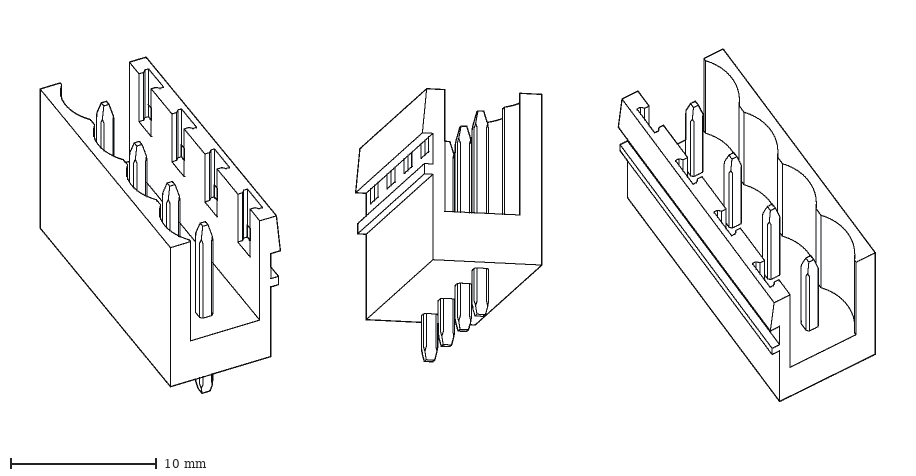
import cadquery as cq


LENGTH = 20.12
HEIGHT = 12.0
DEPTH = 7.69
FLOOR_Z = 3.45
FRONT_WALL = 1.55
REAR_WALL_INNER_Y = 6.85

POLE_COUNT = 4
END_MARGIN = 2.43
POLE_PITCH = (LENGTH - 2 * END_MARGIN) / (POLE_COUNT - 1)

HOOK_Y = 8.43
HOOK_TOP_Y = 8.13
HOOK_BOTTOM_Z = 8.87

RIB_Y = 8.29
RIB_BOTTOM_Z = 6.0
RIB_TOP_Z = 6.72

SCALLOP_RADIUS = 3.5
SCALLOP_FRONT_Y = 0.76

GROOVE_BOTTOM_Z = 7.87
GROOVE_MOUTH_WIDTH = 1.9
GROOVE_BACK_WIDTH = 2.33
GROOVE_MOUTH_END_Y = 7.2
GROOVE_FLARE_END_Y = 7.4
GROOVE_BACK_Y = DEPTH

PIN_Y = 3.78
PIN_WIDTH = 1.0
PIN_EDGE_DIAMETER = 1.2
CONTACT_TOP_Z = 11.1
CONTACT_TAPER_LENGTH = 1.25
CONTACT_TIP_WIDTH = 0.4
TAIL_LENGTH = 15.9
TAIL_TAPER_LENGTH = 4.5
TAIL_TIP_WIDTH = 0.6

pole_positions = [END_MARGIN - LENGTH / 2 + i * POLE_PITCH for i in range(POLE_COUNT)]


def make_channel():
    """U-shaped housing profile with the hook and the rib on its rear wall."""
    profile = [
        (0, 0),
        (DEPTH, 0),
        (DEPTH, RIB_BOTTOM_Z),
        (RIB_Y, RIB_BOTTOM_Z),
        (RIB_Y, RIB_TOP_Z),
        (DEPTH, RIB_TOP_Z),
        (DEPTH, HOOK_BOTTOM_Z),
        (HOOK_Y, HOOK_BOTTOM_Z),
        (HOOK_TOP_Y, HEIGHT),
        (REAR_WALL_INNER_Y, HEIGHT),
        (REAR_WALL_INNER_Y, FLOOR_Z),
        (FRONT_WALL, FLOOR_Z),
        (FRONT_WALL, HEIGHT),
        (0, HEIGHT),
    ]
    return cq.Workplane("YZ").polyline(profile).close().extrude(LENGTH / 2, both=True)


def make_scallop(x):
    """Upright half cylinder that hollows the front wall, kept clear of the rear wall."""
    center_y = SCALLOP_FRONT_Y + SCALLOP_RADIUS
    base = cq.Workplane("XY", origin=(x, center_y, FLOOR_Z))
    half_disc = base.moveTo(-SCALLOP_RADIUS, 0).threePointArc((0, -SCALLOP_RADIUS), (SCALLOP_RADIUS, 0)).close()
    return half_disc.extrude(HEIGHT - FLOOR_Z)


def make_groove(x):
    """Undercut coding groove; below the hook it is as deep as the wall and opens a window."""
    half_mouth = GROOVE_MOUTH_WIDTH / 2
    half_back = GROOVE_BACK_WIDTH / 2
    outline = [
        (-half_mouth, REAR_WALL_INNER_Y),
        (-half_mouth, GROOVE_MOUTH_END_Y),
        (-half_back, GROOVE_FLARE_END_Y),
        (-half_back, GROOVE_BACK_Y),
        (half_back, GROOVE_BACK_Y),
        (half_back, GROOVE_FLARE_END_Y),
        (half_mouth, GROOVE_MOUTH_END_Y),
        (half_mouth, REAR_WALL_INNER_Y),
    ]
    base = cq.Workplane("XY", origin=(x, 0, GROOVE_BOTTOM_Z))
    return base.polyline(outline).close().extrude(HEIGHT - GROOVE_BOTTOM_Z)


def make_housing():
    """Channel with a scallop and a coding groove at every pole."""
    housing = make_channel()
    for x in pole_positions:
        housing = housing.cut(make_scallop(x)).cut(make_groove(x))
    return housing.solids().val()


def make_pin(x, root_z, direction, length, taper_length, tip_width):
    """Square bar with a pyramid end, edges turned round; direction is +1 for up and -1 for down."""
    shank_length = length - taper_length
    root = cq.Workplane("XY", origin=(x, PIN_Y, root_z))
    shank = root.rect(PIN_WIDTH, PIN_WIDTH).extrude(direction * shank_length)
    taper = (
        root.workplane(offset=direction * shank_length)
        .rect(PIN_WIDTH, PIN_WIDTH)
        .workplane(offset=direction * taper_length)
        .rect(tip_width, tip_width)
        .loft(ruled=True)
    )
    turned_envelope = root.circle(PIN_EDGE_DIAMETER / 2).extrude(direction * length)
    return shank.union(taper).intersect(turned_envelope).solids().val()


def make_contact(x):
    """Plug contact standing on the channel floor."""
    return make_pin(x, FLOOR_Z, 1, CONTACT_TOP_Z - FLOOR_Z, CONTACT_TAPER_LENGTH, CONTACT_TIP_WIDTH)


def make_solder_tail(x):
    """Solder tail hanging from the underside of the housing."""
    return make_pin(x, 0, -0.2, TAIL_LENGTH, TAIL_TAPER_LENGTH, TAIL_TIP_WIDTH)


housing = make_housing()
contacts = [make_contact(x) for x in pole_positions]
solder_tails = [make_solder_tail(x) for x in pole_positions]

result = cq.Compound.makeCompound([housing, *contacts, *solder_tails])